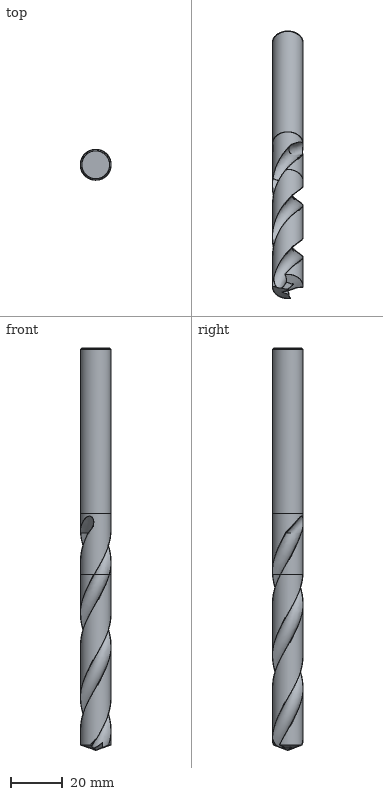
import cadquery as cq
import math

shank_diameter = 12.0
drill_diameter = 11.9
shank_radius = shank_diameter / 2
drill_radius = drill_diameter / 2
total_length = 156.0
cutting_length = 68.3
neck_top = 91.9
shank_chamfer = 0.6

point_angle = 140.0
point_height = drill_radius / math.tan(math.radians(point_angle / 2))

flute_count = 2
helix_angle = 30.0
flute_pitch = math.pi * shank_diameter / math.tan(math.radians(helix_angle))
flute_radius = 3.3
flute_offset = 5.0
flute_joint_angle = 298.5
helix_top = 84.3

runout_height = 9.0
runout_tangent = 8.0
runout_outward = 3.0

notch_corner_x = 2.6
notch_corner_y = 2.8
notch_lean = 1.3
notch_heel_angle = 50.0
notch_reach = 9.0
notch_height = 12.0

overlap = 1.0


def flute_angle(height):
    """Direction of the first flute, in degrees, at a height above the point."""
    return flute_joint_angle + 360.0 * (height - cutting_length) / flute_pitch


def place(cutter, angle, height):
    """Turn a cutter about the drill axis and lift it to its height."""
    return cutter.rotate((0, 0, 0), (0, 0, 1), angle).translate((0, 0, height))


def flute_section():
    return cq.Workplane("XY").moveTo(flute_offset, 0).circle(flute_radius)


def make_helix_cutter():
    length = helix_top + overlap
    helix = flute_section().twistExtrude(length, 360.0 * length / flute_pitch)
    return place(helix, flute_angle(-overlap), -overlap)


def make_runout_cutter():
    path = cq.Workplane("XY").polyline([
        (flute_offset, 0, 0),
        (flute_offset + runout_outward, runout_tangent, runout_height),
    ])
    return place(flute_section().sweep(path), flute_angle(helix_top), helix_top)


def make_notch_cutter():
    """Leaning wedge with one wall along the lip and one wall across the heel."""
    heel_drop = notch_reach * math.tan(math.radians(notch_heel_angle))
    start_y = notch_corner_y + notch_lean * overlap
    end_y = start_y - notch_lean * notch_height
    path = cq.Workplane("XY").polyline([
        (notch_corner_x, start_y, 0),
        (notch_corner_x, end_y, notch_height),
    ])
    wedge = (
        cq.Workplane("XY")
        .polyline([
            (notch_corner_x, start_y),
            (notch_corner_x - notch_reach, start_y - heel_drop),
            (notch_corner_x, start_y - heel_drop),
        ])
        .close()
        .sweep(path)
    )
    return place(wedge, 0, -overlap)


def cut_around(body, cutter):
    """Cut one copy of the cutter for each flute."""
    for i in range(flute_count):
        body = body.cut(place(cutter, i * 360.0 / flute_count, 0))
    return body


def revolve_outline(points):
    return cq.Workplane("XZ").polyline(points).close().revolve()


helix_cutter = make_helix_cutter()

head = revolve_outline([
    (0, 0),
    (drill_radius, point_height),
    (drill_radius, cutting_length),
    (0, cutting_length),
])
head = cut_around(head, helix_cutter)
head = cut_around(head, make_notch_cutter())

shank = revolve_outline([
    (0, cutting_length),
    (drill_radius, cutting_length),
    (drill_radius, neck_top),
    (shank_radius, neck_top),
    (shank_radius, total_length - shank_chamfer),
    (shank_radius - shank_chamfer, total_length),
    (0, total_length),
])
shank = cut_around(shank, helix_cutter)
shank = cut_around(shank, make_runout_cutter())

result = cq.Compound.makeCompound([head.val(), shank.val()])